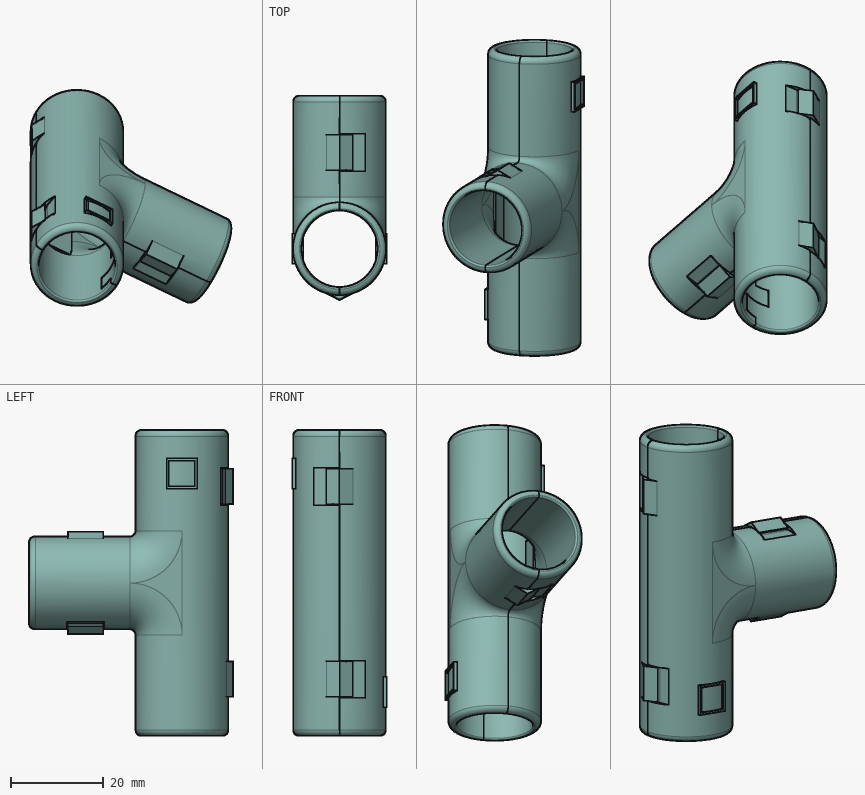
import cadquery as cq
import math


outer_radius = 10.08
wall = 1.8
bore_radius = outer_radius - wall
arm_length = 33.195
bend_radius = 11.3
rim_fillet = 1.35
mouth_fillet = 0.42

stop_half_span = 7.85
stop_width = 6.0

clip_position = 20.9
clip_length = 7.7
clip_clearance = 0.2
clip_half_width = 2.9
clip_peak = 11.125
hook_tip_height = 9.4
hook_base_height = 8.75
hook_base_width = 1.5
pocket_ridge_height = 8.85
pocket_width = 5.6
pocket_top = clip_peak + 1

tongue_width = 3.0
tongue_height = 5.05
tongue_to_end = 2.15
tongue_clearance = 0.15
tongue_outer_radius = bore_radius + wall / 2

frame_size = 6.6
frame_border = 0.5
frame_face = 10.27
frame_position = 23.7


def surface_height(x):
    """Distance of the outer surface from the mid plane at offset x."""
    return math.sqrt(outer_radius**2 - x**2)


def straight_tube():
    """Tube along Z over the full length of the run, with both ends rounded."""
    tube = (
        cq.Workplane("XY")
        .circle(outer_radius)
        .circle(bore_radius)
        .extrude(arm_length, both=True)
    )
    rims = tube.faces("<Z or >Z")
    tube = rims.edges(cq.selectors.RadiusNthSelector(1)).fillet(rim_fillet)
    mouths = tube.faces("<Z or >Z")
    return mouths.edges(cq.selectors.RadiusNthSelector(0)).fillet(mouth_fillet)


def run_tube():
    """Straight tube opened on its +Y side, where the branch joins."""
    opening = cq.Workplane("XY").box(
        2 * arm_length, arm_length, 2 * bend_radius, centered=(True, False, True)
    )
    return straight_tube().cut(opening)


def branch_tube():
    """Outer stretch of the branch, beyond the bends."""
    side = 2 * arm_length
    beyond_bends = cq.Workplane("XZ", origin=(0, bend_radius, 0)).rect(side, side).extrude(-arm_length)
    return straight_tube().rotate((0, 0, 0), (1, 0, 0), 90).intersect(beyond_bends)


def upper_bend():
    """Quarter bend of the inner half of the tube, from the upper run to the branch."""
    return (
        cq.Workplane("XY", origin=(0, 0, bend_radius))
        .moveTo(-outer_radius, 0)
        .threePointArc((0, outer_radius), (outer_radius, 0))
        .lineTo(bore_radius, 0)
        .threePointArc((0, bore_radius), (-bore_radius, 0))
        .close()
        .revolve(90, (0, bend_radius, 0), (1, bend_radius, 0))
    )


def flank_plate():
    """Flat wall on the -X side, between the centre lines of the two bends."""
    arc_middle = bend_radius * (1 - math.sqrt(0.5))
    return (
        cq.Workplane("YZ", origin=(-outer_radius, 0, 0))
        .moveTo(0, -bend_radius)
        .lineTo(0, bend_radius)
        .threePointArc((arc_middle, arc_middle), (bend_radius, 0))
        .threePointArc((arc_middle, -arc_middle), (0, -bend_radius))
        .close()
        .extrude(wall)
    )


def tee_shell():
    """Run and branch blended by round bends and flat flanks, as one hollow body."""
    shell = run_tube().union(branch_tube(), clean=False)
    for side_piece in (upper_bend(), flank_plate()):
        shell = shell.union(side_piece, clean=False)
        shell = shell.union(turn_over(side_piece), clean=False)
    return shell


def bore_stop():
    """Flat pad on the -X side of the bore, rooted in the wall."""
    depth = bore_radius + wall / 2 - stop_half_span
    pad = cq.Workplane("XY").box(depth, stop_width, 2 * bend_radius)
    return pad.translate((-stop_half_span - depth / 2, 0, 0))


def label_frame():
    depth = frame_face - bore_radius - wall / 4
    window = frame_size - 2 * frame_border
    return (
        cq.Workplane("YZ", origin=(-frame_face, 0, frame_position))
        .rect(frame_size, frame_size)
        .rect(window, window)
        .extrude(depth)
    )


def clip_hook():
    """Tent-shaped hook, rooted on the -x side and reaching to +x."""
    return (
        cq.Workplane("XY")
        .polyline([
            (-clip_half_width, hook_base_height),
            (-clip_half_width, surface_height(clip_half_width)),
            (0, clip_peak),
            (clip_half_width, hook_tip_height),
            (hook_base_width, hook_base_height),
        ])
        .close()
        .extrude(clip_length / 2, both=True)
    )


def clip_pocket():
    """Room for the hook in the wall of the other half."""
    return (
        cq.Workplane("XY")
        .polyline([
            (0, hook_base_height),
            (hook_base_width, hook_base_height),
            (clip_half_width, pocket_ridge_height),
            (pocket_width, surface_height(pocket_width)),
            (pocket_width, pocket_top),
            (0, pocket_top),
        ])
        .close()
        .extrude(clip_length / 2 + clip_clearance, both=True)
    )


def on_run_front(shape):
    """Put a clip shape on the -Y side of the lower run."""
    return shape.rotate((0, 0, 0), (1, 0, 0), 180).translate((0, 0, -clip_position))


def on_branch_top(shape):
    """Put a clip shape on the upper side of the branch."""
    return shape.rotate((0, 0, 0), (1, 0, 0), 90).translate((0, clip_position, 0))


def tongues(width):
    """Inner layers of the wall that reach past the split to +X, near both ends of the run."""
    upper_base = arm_length - tongue_to_end - tongue_height
    lower_base = -upper_base
    layer = cq.Workplane("XY").circle(tongue_outer_radius).circle(bore_radius).extrude(tongue_height)
    reach = cq.Workplane("XY").box(width, outer_radius, tongue_height, centered=False)
    tongue = layer.intersect(reach)
    return [tongue.translate((0, 0, base)) for base in (upper_base, lower_base)]


def turn_over(shape):
    """Half turn about the branch axis, which swaps the two halves."""
    return shape.rotate((0, 0, 0), (0, 1, 0), 180)


def half_shell():
    """The half on the -X side."""
    room = 4 * arm_length
    minus_x_side = cq.Workplane("XY").box(room, room, room).translate((-room / 2, 0, 0))
    half = tee_shell().intersect(minus_x_side)
    half = half.union(bore_stop()).union(label_frame())
    for place in (on_run_front, on_branch_top):
        half = half.cut(turn_over(place(clip_pocket())))
        half = half.union(place(clip_hook()))
    for recess in tongues(tongue_width + tongue_clearance):
        half = half.cut(turn_over(recess))
    for tongue in tongues(tongue_width):
        half = half.union(tongue)
    return half


left_half = half_shell()
right_half = turn_over(left_half)

result = cq.Compound.makeCompound([*left_half.solids().vals(), *right_half.solids().vals()])